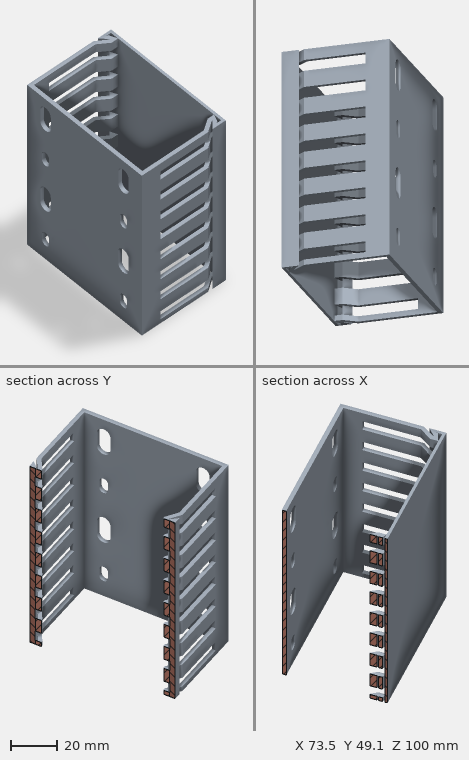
import cadquery as cq

width = 73.5
depth = 49.1
length = 100.0
half_width = width / 2
cover_top = depth / 2

wall = 2.0
base_thickness = 2.1

bend_drop = 10.3
inner_bend_drop = 11.0
finger_inset = 6.0
neck_inset = 3.9
neck_drop = 4.7
finger_elbow_drop = 5.2

cover_thickness = 1.4
lip_wall = 1.4
lip_drop = 7.8
lip_point_inset = 3.8

hook_root_drop = 4.0
hook_end_drop = 4.4
barb_tip_drop = 3.3
barb_tip_inset = 1.6

slot_width = 5.0
slot_pitch = 12.5
slot_count = 8
first_slot_from_end = 7.5
slot_floor = 10.8

hole_spacing = 50.0
large_hole_width = 6.7
large_hole_length = 14.2
small_hole_width = 4.5
small_hole_length = 8.0
large_hole_from_end = 12.5
small_hole_from_end = 37.5


def hook_drop(inset):
    """Drop of the sloping contact face at a given inset."""
    slope = (hook_end_drop - hook_root_drop) / (lip_point_inset - lip_wall)
    return hook_root_drop + slope * (inset - lip_wall)


def symmetric_prism(half_outline):
    """Extrude an outline of (inset, drop) points, mirrored about the YZ plane, along Z."""
    right_side = [(half_width - inset, cover_top - drop) for inset, drop in half_outline]
    left_side = [(-x, y) for x, y in reversed(right_side)]
    return (
        cq.Workplane("XY", origin=(0, 0, -length / 2))
        .polyline(right_side + left_side)
        .close()
        .extrude(length)
    )


def make_side_slots():
    """Slots through both side walls, open at the finger tips."""
    slot_depth = depth - slot_floor
    slots = cq.Workplane("XY")
    for index in range(slot_count):
        z = length / 2 - first_slot_from_end - index * slot_pitch
        slot = cq.Workplane("XY").box(width, slot_depth, slot_width)
        slots = slots.add(slot.translate((0, cover_top - slot_depth / 2, z)))
    return slots.combine()


def make_hole_grid(hole_length, hole_width, from_end):
    """Four upright obround holes through the base, the upper pair at from_end below the top."""
    upper_z = length / 2 - from_end
    centers = [
        (x, z)
        for x in (-hole_spacing / 2, hole_spacing / 2)
        for z in (upper_z, upper_z - hole_spacing)
    ]
    return (
        cq.Workplane("XZ", origin=(0, -depth / 2 + base_thickness, 0))
        .pushPoints(centers)
        .slot2D(hole_length, hole_width, 90)
        .extrude(base_thickness)
    )


def make_duct():
    """U-shaped channel with slotted side walls, barbed fingers and mounting holes."""
    channel = symmetric_prism([
        (wall, depth - base_thickness),
        (wall, inner_bend_drop),
        (finger_inset, finger_elbow_drop),
        (finger_inset, cover_thickness),
        (barb_tip_inset, barb_tip_drop),
        (barb_tip_inset, hook_drop(barb_tip_inset)),
        (neck_inset, hook_drop(neck_inset)),
        (neck_inset, neck_drop),
        (0, bend_drop),
        (0, depth),
    ])
    return (
        channel
        .cut(make_side_slots())
        .cut(make_hole_grid(large_hole_length, large_hole_width, large_hole_from_end))
        .cut(make_hole_grid(small_hole_length, small_hole_width, small_hole_from_end))
    )


def make_cover():
    """Flat cover with a lip on each side that hooks under the finger barbs."""
    return symmetric_prism([
        (lip_wall, cover_thickness),
        (lip_wall, hook_root_drop),
        (lip_point_inset, hook_end_drop),
        (0, lip_drop),
        (0, 0),
    ])


duct = make_duct()
cover = make_cover()

result = cq.Compound.makeCompound([duct.solids().val(), cover.val()])